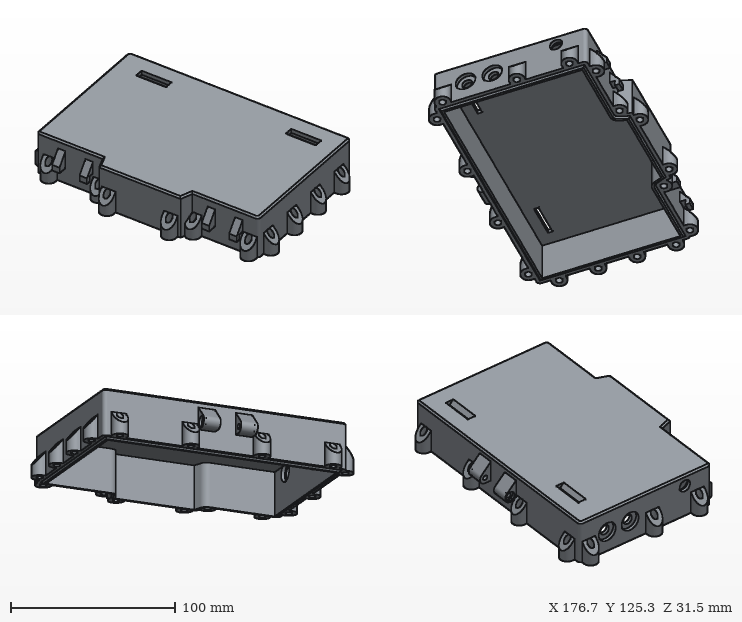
import cadquery as cq
import math

height = 31.5
lip_height = 1.2
lip_inset = 2.5
lip_taper_angle = 40
overall_length = 176.7
overall_width = 125.3
corner_radius = 2.5
top_chamfer = 1.2
wall = 5.0
roof = 3.0

bay_depth = 8.5
bay_front_half = 29.9
bay_draft_angle = 20
bay_root_half = bay_front_half + bay_depth * math.tan(math.radians(bay_draft_angle))

boss_diameter = 10.0
boss_offset = 2.0
boss_hole_diameter = 4.2
boss_top = 16.8
boss_slope_drop = 8.1
low_boss_drop = 2.5
boss_reach = boss_offset + boss_diameter / 2

long_row_count = 4
back_boss_pitch = 47.5
right_boss_pitch = 25.8
last_boss_y = -40.1
left_boss_places = (43.8, -5.3, last_boss_y)
front_boss_places = (-71.2, 34.6, 75.3)
low_boss_x = -34.6
bay_boss_x = 22.8

strap_places = (-52.8, 56.9)
slot_length = 21.9
slot_width = 5.8
slot_back_y = 38.2
slot_ramp_run = slot_width / 2
hook_half_pitch = 10.0
hook_width = 5.5
hook_reach = 6.5
hook_top = 25.3
hook_tip_top = 16.8
hook_barb_length = 3.0
hook_bottom = 12.5
hook_underside = 16.6

lug_width = 11.1
lug_inner_x = 6.9
lug_diameter = 8.1
lug_axis_offset = 4.5
lug_axis_z = 17.3
lug_hole_diameter = 3.2
lug_recess_diameter = 6.5
lug_recess_depth = 1.8

lug_reach = lug_axis_offset + lug_diameter / 2
side_x = overall_length / 2 - boss_reach
side_y = (overall_width - bay_depth - boss_reach - lug_reach) / 2
lug_axis_y = side_y + lug_axis_offset

jack_places = (29.5, 11.8)
jack_z = 15.7
jack_diameter = 6.5
jack_recess_diameter = 13.0
jack_recess_depth = 2.5
port_y = -30.4
port_z = 23.7
port_diameter = 8.1
port_inner_diameter = 12.0
port_skin = 2.5


def plan_outline(z):
    """Closed plan of the rectangle with its tapered front bay."""
    return (
        cq.Workplane("XY", origin=(0, 0, z))
        .moveTo(-side_x, side_y)
        .lineTo(-side_x, -side_y)
        .lineTo(-bay_root_half, -side_y)
        .lineTo(-bay_front_half, -side_y - bay_depth)
        .lineTo(bay_front_half, -side_y - bay_depth)
        .lineTo(bay_root_half, -side_y)
        .lineTo(side_x, -side_y)
        .lineTo(side_x, side_y)
        .close()
    )


def inset_block(inset, bottom, top):
    return plan_outline(bottom).offset2D(-inset).extrude(top - bottom)


def outer_block():
    block = plan_outline(lip_height).extrude(height - lip_height)
    for x in (-side_x, side_x):
        for y in (-side_y, side_y):
            near_corner = cq.selectors.BoxSelector(
                (x - corner_radius, y - corner_radius, 0),
                (x + corner_radius, y + corner_radius, height),
            )
            block = block.edges("|Z").edges(near_corner).fillet(corner_radius)
    block = block.faces(">Z").chamfer(top_chamfer)
    lip = plan_outline(lip_height).offset2D(-lip_inset).extrude(-lip_height, taper=lip_taper_angle)
    return block.union(lip)


def boss(x, y, turn, drop=0):
    """Screw boss on a wall point; at turn 0 it stands out toward +X."""
    radius = boss_diameter / 2
    root = -wall / 2
    top = boss_top - drop
    post = (
        cq.Workplane("XY", origin=(0, 0, lip_height))
        .moveTo(root, -radius)
        .lineTo(boss_offset, -radius)
        .threePointArc((boss_reach, 0), (boss_offset, radius))
        .lineTo(root, radius)
        .close()
        .extrude(top - lip_height)
    )
    slope = (
        cq.Workplane("XZ")
        .moveTo(0, top)
        .lineTo(boss_reach, top - boss_slope_drop)
        .lineTo(boss_reach, top)
        .close()
        .extrude(radius, both=True)
    )
    return place(post.cut(slope), x, y, turn)


def boss_hole(x, y, turn, drop=0):
    hole = (
        cq.Workplane("XY", origin=(boss_offset, 0, lip_height))
        .circle(boss_hole_diameter / 2)
        .extrude(boss_top - drop - lip_height)
    )
    return place(hole, x, y, turn)


def place(solid, x, y, turn):
    return solid.rotate((0, 0, 0), (0, 0, 1), turn).translate((x, y, 0))


def boss_placements():
    """Wall point, facing angle and height drop of every boss."""
    placements = [(low_boss_x, -side_y, -90, low_boss_drop)]
    for step in range(long_row_count):
        placements.append(((step - (long_row_count - 1) / 2) * back_boss_pitch, side_y, 90, 0))
        placements.append((side_x, last_boss_y + step * right_boss_pitch, 0, 0))
    for y in left_boss_places:
        placements.append((-side_x, y, 180, 0))
    for x in front_boss_places:
        placements.append((x, -side_y, -90, 0))
    for x in (-bay_boss_x, bay_boss_x):
        placements.append((x, -side_y - bay_depth, -90, 0))
    return placements


def hook(x):
    """Sloping wedge with a flat end and a level underside."""
    return (
        cq.Workplane("YZ", origin=(x, 0, 0))
        .moveTo(-side_y, hook_bottom)
        .lineTo(-side_y - hook_reach, hook_bottom)
        .lineTo(-side_y - hook_reach, hook_tip_top)
        .lineTo(-side_y, hook_top)
        .close()
        .extrude(hook_width / 2, both=True)
    )


def hook_notch(x):
    """Block taken out under a hook, leaving a barb at its tip."""
    length = hook_reach - hook_barb_length
    return cq.Workplane("XY").box(
        hook_width, length, hook_underside - hook_bottom, centered=(True, False, False)
    ).translate((x, -side_y - length, hook_bottom))


def strap_slot(x):
    """Slot through the roof whose front wall ramps down toward the back."""
    back = slot_back_y
    front = slot_back_y - slot_width
    return (
        cq.Workplane("YZ", origin=(x, 0, 0))
        .moveTo(front, height)
        .lineTo(front + slot_ramp_run, height - roof)
        .lineTo(back, height - roof)
        .lineTo(back, height)
        .close()
        .extrude(slot_length / 2, both=True)
    )


def hinge_lug(x_start):
    """Lug with a round end, a top sloping at 45 degrees and a level underside."""
    radius = lug_diameter / 2
    tangent = radius * math.sqrt(0.5)
    wall_rise = radius * math.sqrt(2) + lug_axis_offset
    return (
        cq.Workplane("YZ", origin=(x_start, 0, 0))
        .moveTo(side_y, lug_axis_z + wall_rise)
        .lineTo(lug_axis_y + tangent, lug_axis_z + tangent)
        .threePointArc((lug_axis_y + radius, lug_axis_z), (lug_axis_y, lug_axis_z - radius))
        .lineTo(side_y, lug_axis_z - radius)
        .close()
        .extrude(lug_width)
    )


def round_cut(x, y, z, diameter, depth):
    """Cylinder along X starting at x and running toward +X."""
    return (
        cq.Workplane("YZ", origin=(x, y, z))
        .circle(diameter / 2)
        .extrude(depth)
    )


shell = outer_block()
for placement in boss_placements():
    shell = shell.union(boss(*placement)).cut(boss_hole(*placement))

for strap_x in strap_places:
    barbed_x = strap_x + hook_half_pitch
    shell = shell.union(hook(strap_x - hook_half_pitch))
    shell = shell.union(hook(barbed_x).cut(hook_notch(barbed_x)))

lug_outer_x = lug_inner_x + lug_width
for lug_start in (-lug_outer_x, lug_inner_x):
    shell = shell.union(hinge_lug(lug_start))

shell = shell.cut(inset_block(wall, 0, height - roof))

for strap_x in strap_places:
    shell = shell.cut(strap_slot(strap_x))

shell = shell.cut(round_cut(-lug_outer_x, lug_axis_y, lug_axis_z, lug_hole_diameter, 2 * lug_outer_x))
for recess_x in (-lug_outer_x, lug_outer_x - lug_recess_depth):
    shell = shell.cut(round_cut(recess_x, lug_axis_y, lug_axis_z, lug_recess_diameter, lug_recess_depth))

for jack_y in jack_places:
    shell = shell.cut(round_cut(-side_x, jack_y, jack_z, jack_diameter, wall))
    shell = shell.cut(round_cut(-side_x, jack_y, jack_z, jack_recess_diameter, jack_recess_depth))
shell = shell.cut(round_cut(-side_x, port_y, port_z, port_diameter, wall))
shell = shell.cut(round_cut(-side_x + port_skin, port_y, port_z, port_inner_diameter, wall - port_skin))

result = shell